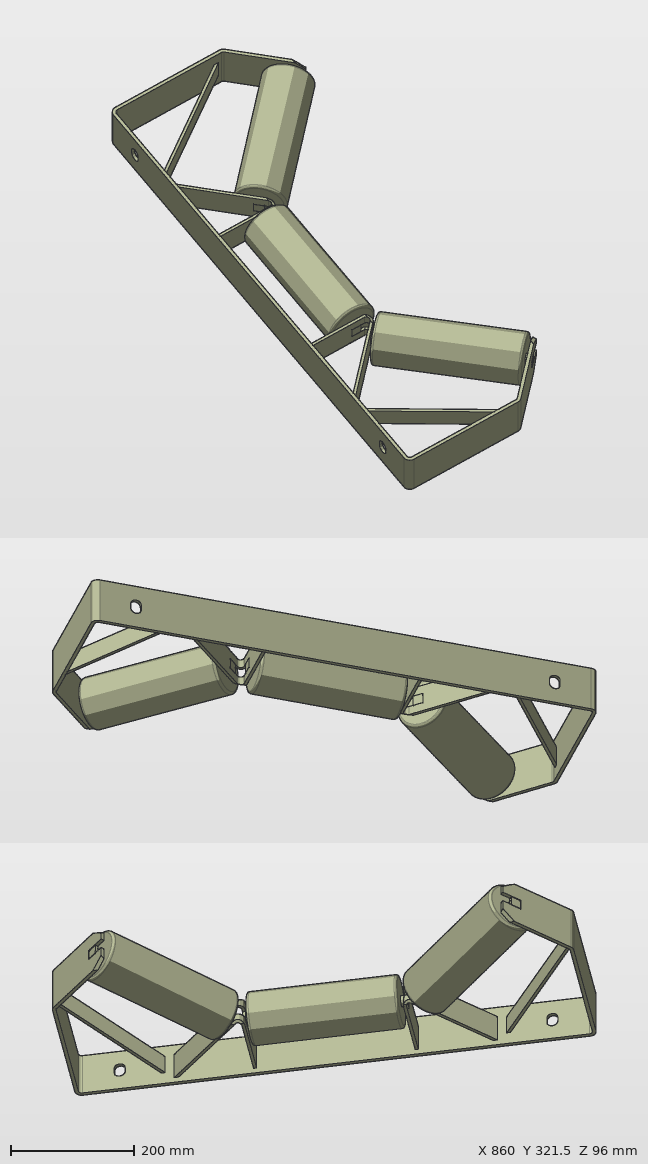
import cadquery as cq
import math

frame_length = 860.0
frame_height = 80.0
frame_thickness = 6.0
frame_bend_radius = 9.0
upright_height = 221.0
wing_length = 139.0
trough_angle = 45.0

mount_slot_length = 26.0
mount_slot_width = 18.0
mount_slot_offset = 357.0

roller_diameter = 89.0
roller_length = 249.0
roller_edge_radius = 4.0
shaft_width = 18.0
end_gap = 6.0
centre_roller_y = 100.0
roller_z = -5.0
side_roller_tilt = 1.6
shaft_depth_in_wing = 27.0
shaft_slot_length = 52.0
shaft_slot_span = 21.5

bracket_thickness = 5.0
bracket_height = 50.0
bracket_bend_radius = 9.0
brace_thickness = 5.0
brace_height = 34.0
brace_foot_x = 279.5
brace_top_y = 215.0

wing_taper_drop = 16.0
wing_taper_run = 16.0
bracket_taper_drop = 10.0
bracket_taper_run = 18.0

half_length = frame_length / 2
cos_a = math.cos(math.radians(trough_angle))
sin_a = math.sin(math.radians(trough_angle))
tan_a = math.tan(math.radians(trough_angle))
neck_length = roller_length + 2 * end_gap
bracket_face_offset = roller_length / 2 + end_gap

wing_end_x = -half_length + wing_length * cos_a
wing_end_y = upright_height + wing_length * sin_a
axis_start_x = wing_end_x - shaft_depth_in_wing * cos_a
axis_start_y = wing_end_y - shaft_depth_in_wing * sin_a

wing_to_middle = frame_thickness + bracket_face_offset
side_roller_x = axis_start_x + wing_to_middle * sin_a
side_roller_y = axis_start_y - wing_to_middle * cos_a
side_roller_z = roller_z + bracket_face_offset * math.sin(math.radians(side_roller_tilt))

leg_face_x = side_roller_x + bracket_face_offset * sin_a
leg_face_y = side_roller_y - bracket_face_offset * cos_a
bracket_apex_x = -bracket_face_offset
bracket_apex_y = leg_face_y + (bracket_apex_x - leg_face_x) * tan_a
bracket_foot_x = bracket_apex_x - bracket_apex_y / tan_a
bracket_top_y = bracket_apex_y - (bracket_bend_radius + bracket_thickness / 2) * (1 / cos_a - 1)


def offset_left(points, distance):
    """Points of an open polyline moved to its left by a distance, mitred at the corners."""
    normals = []
    for (x0, y0), (x1, y1) in zip(points, points[1:]):
        length = math.hypot(x1 - x0, y1 - y0)
        normals.append(((y0 - y1) / length, (x1 - x0) / length))
    moved = []
    for i, (x, y) in enumerate(points):
        ax, ay = normals[max(i - 1, 0)]
        bx, by = normals[min(i, len(normals) - 1)]
        shift = distance / (1 + ax * bx + ay * by)
        moved.append((x + shift * (ax + bx), y + shift * (ay + by)))
    return moved


def bent_plate(outer_points, height, thickness, middle_radius):
    """Upright plate whose outer face follows the points, thickened to their left, with round bends."""
    middle = offset_left(outer_points, thickness / 2)
    path = cq.Wire.makePolygon([cq.Vector(x, y, 0) for x, y in middle]).fillet(middle_radius)
    section = cq.Plane(origin=path.startPoint(), normal=path.tangentAt(0), xDir=(0, 0, 1))
    return cq.Workplane(section).rect(height, thickness).sweep(cq.Workplane(obj=path))


def mirrored_pair(body):
    return body.union(body.mirror("YZ"))


def taper_cutter(plate_height, top_y, run, drop):
    """Two cutters along X that taper a plate, at both edges, toward its end at top_y."""
    half_height = plate_height / 2
    upper_cutter = (
        cq.Workplane("YZ")
        .polyline([
            (top_y - run, half_height),
            (top_y, half_height - drop),
            (top_y + run, half_height - drop),
            (top_y + run, half_height + drop),
            (top_y - run, half_height + drop),
        ])
        .close()
        .extrude(half_length, both=True)
    )
    return upper_cutter.union(upper_cutter.mirror("XY"))


def at_centre_roller(body):
    return body.translate((0, centre_roller_y, roller_z))


def at_left_roller(body):
    """Move a body from the origin to the left roller, whose axis slopes down toward the middle."""
    tilted = body.rotate((0, 0, 0), (0, 1, 0), side_roller_tilt)
    turned = tilted.rotate((0, 0, 0), (0, 0, 1), trough_angle - 90)
    return turned.translate((side_roller_x, side_roller_y, side_roller_z))


def make_roller():
    """Roller and shaft in one body, along X about the origin."""
    drum = (
        cq.Workplane("YZ", origin=(-roller_length / 2, 0, 0))
        .circle(roller_diameter / 2)
        .extrude(roller_length)
        .edges("%CIRCLE")
        .fillet(roller_edge_radius)
    )
    neck = (
        cq.Workplane("YZ", origin=(-neck_length / 2, 0, 0))
        .circle(shaft_width / 2)
        .extrude(neck_length)
    )
    square_end = (
        cq.Workplane("YZ", origin=(neck_length / 2, 0, 0))
        .rect(shaft_width, shaft_width)
        .extrude(bracket_thickness)
    )
    return drum.union(neck).union(mirrored_pair(square_end))


def make_shaft_slots():
    """Flat-bottomed slots for both ends of a shaft along X, open toward +Y."""
    slot = (
        cq.Workplane("XY", origin=(roller_length / 2, -shaft_width / 2, 0))
        .box(shaft_slot_span, shaft_slot_length, shaft_width, centered=(False, False, True))
    )
    return mirrored_pair(slot)


def make_strip():
    """Bent strip with tapered wing ends and the mounting slots."""
    left = [
        (wing_end_x, wing_end_y),
        (-half_length, upright_height),
        (-half_length, 0),
    ]
    right = [(-x, y) for x, y in reversed(left)]
    strip = bent_plate(left + right, frame_height, frame_thickness, frame_bend_radius)
    strip = strip.cut(taper_cutter(frame_height, wing_end_y, wing_taper_run, wing_taper_drop))
    mount_slots = (
        cq.Workplane("XZ")
        .pushPoints([(-mount_slot_offset, 0), (mount_slot_offset, 0)])
        .slot2D(mount_slot_length, mount_slot_width, 90)
        .extrude(-frame_thickness)
    )
    return strip.cut(mount_slots)


def make_left_bracket():
    """Sloping leg and vertical leg, with feet that end inside the thickness of the strip."""
    points = [
        (bracket_apex_x, 0),
        (bracket_apex_x, bracket_apex_y),
        (bracket_foot_x - frame_thickness / tan_a, -frame_thickness),
    ]
    bracket = bent_plate(points, bracket_height, bracket_thickness, bracket_bend_radius)
    below_feet = cq.Workplane("XY").box(frame_length, frame_length, frame_length)
    below_feet = below_feet.translate((0, (frame_thickness - frame_length) / 2, 0))
    taper = taper_cutter(bracket_height, bracket_top_y, bracket_taper_run, bracket_taper_drop)
    return bracket.cut(below_feet).cut(taper).translate((0, 0, roller_z))


def make_left_brace():
    """Flat diagonal bar whose ends run into the strip."""
    top_x = -half_length + frame_thickness / 2
    foot_y = frame_thickness / 2
    run = -brace_foot_x - top_x
    rise = brace_top_y - foot_y
    width = brace_thickness * math.hypot(run, rise) / rise
    return (
        cq.Workplane("XY")
        .polyline([
            (top_x, brace_top_y),
            (-brace_foot_x, foot_y),
            (-brace_foot_x - width, foot_y),
            (top_x, brace_top_y - width * rise / run),
        ])
        .close()
        .extrude(brace_height / 2, both=True)
    )


def make_frame():
    """Welded frame: strip, brackets and braces in one body, slotted for the shafts."""
    frame = make_strip()
    frame = frame.union(mirrored_pair(make_left_bracket())).union(mirrored_pair(make_left_brace()))
    shaft_slots = make_shaft_slots()
    side_slots = mirrored_pair(at_left_roller(shaft_slots))
    return frame.cut(at_centre_roller(shaft_slots)).cut(side_slots)


frame = make_frame()
left_roller = at_left_roller(make_roller())
rollers = [at_centre_roller(make_roller()), left_roller, left_roller.mirror("YZ")]

result = cq.Compound.makeCompound([frame.val(), *[roller.val() for roller in rollers]])